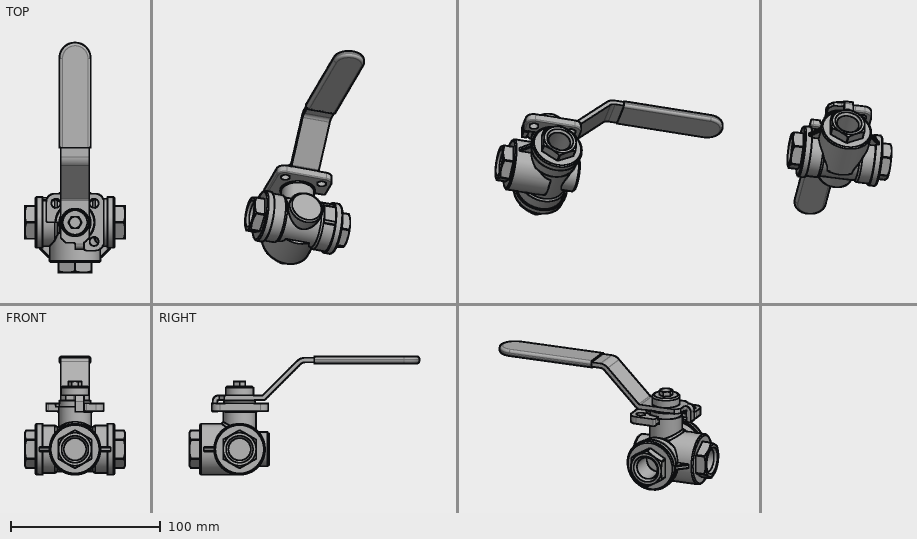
import cadquery as cq
import math

overall_length = 153.5
port_reach = 33.5
collar_face = 26.5
port_radius = 17.0
collar_back = 21.5
side_radius = 16.0
barrel_back = 13.5
core_radius = 14.9
core_half_length = 12.0
edge_chamfer = 0.9
collar_back_chamfer = 0.3

nut_flats = 22.1
nut_corner_diameter = 25.2
nut_tip_diameter = 22.0
nut_chamfer_length = 0.9

bore_diameter = 14.9
bore_mouth_diameter = 18.0
bore_mouth_depth = 1.8
bore_depth = 18.4

rear_boss_radius = 11.5
rear_boss_reach = 19.6
rear_boss_chamfer = 1.2

pad_reach = 16.6
pad_half_height = 7.0
pad_chamfer = 1.4

rib_thickness = 3.0
rib_chamfer = 0.6
rib_wide = 24.0
rib_narrow = 17.0

stem_radius = 22.0 / 2
neck_radius = 21.0 / 2
neck_bottom = 28.2
neck_top = 32.2
spindle_radius = 10.0
saddle_chamfer = 1.2

plate_half_width = 19.2
plate_front = 18.7
plate_bottom = 25.3
plate_top = 30.5
plate_corner_radius = 5.4
plate_small_radius = 1.2
plate_edge_radius = 0.8
plate_notch_x = 6.1
plate_hole_offset = 12.7
plate_hole_diameter = 6.0
plate_recess_top_radius = 13.2
plate_recess_floor_radius = 12.7
plate_root_bevel = 0.8

lever_bottom = 32.7
lever_thickness = 3.2
lever_width = 19.0
lever_front = 13.5
lever_corner = 3.2
lever_bend_y = 15.4
lever_flat_top = 61.1
lever_bend_radius = 7.7
lever_low_bend_radius = 1.5
lever_slope = math.radians(45)

grip_start = 49.9
grip_end = overall_length - port_reach
grip_bottom = 57.1
grip_top = 62.0
grip_width = 21.0
grip_edge = 2.0

stop_tab_left = 0.2
stop_tab_right = 6.0
stop_tab_reach = 18.0
stop_tab_bottom = 24.9
stop_tab_bend = 3.8
stop_tab_root_radius = 1.4

washer_diameter = 18.5
washer_top = 42.0
washer_chamfer = 1.15
bolt_flats = 7.8
bolt_tip_diameter = 7.7
bolt_chamfer_length = 0.3
bolt_top = 45.3


def cylinder_z(radius, bottom, top):
    return cq.Workplane("XY").workplane(offset=bottom).circle(radius).extrude(top - bottom)


def revolve_profile(points):
    """Turn (radius, height) points about the Z axis."""
    return cq.Workplane("XZ").polyline(points).close().revolve(360, (0, 0, 0), (0, 1, 0))


def hexagon_head(flats, corner_diameter, tip_diameter, chamfer_length, bottom, top):
    """Hexagonal head along Z with corners on the X axis and a conical outer end."""
    prism = (
        cq.Workplane("XY").workplane(offset=bottom)
        .polygon(6, flats / math.cos(math.pi / 6)).extrude(top - bottom)
    )
    envelope = revolve_profile([
        (0, bottom),
        (corner_diameter / 2, bottom),
        (corner_diameter / 2, top - chamfer_length),
        (tip_diameter / 2, top),
        (0, top),
    ])
    return prism.intersect(envelope)


def port_nut():
    return hexagon_head(
        nut_flats, nut_corner_diameter, nut_tip_diameter, nut_chamfer_length, collar_face, port_reach
    )


def port_bore():
    bore_radius = bore_diameter / 2
    return revolve_profile([
        (0, port_reach),
        (bore_mouth_diameter / 2, port_reach),
        (bore_radius, port_reach - bore_mouth_depth),
        (bore_radius, port_reach - bore_depth),
        (0, port_reach - bore_depth),
    ])


def side_barrel():
    return revolve_profile([
        (0, 0),
        (core_radius, 0),
        (core_radius, core_half_length),
        (side_radius, barrel_back),
        (side_radius, collar_back),
        (port_radius - collar_back_chamfer, collar_back),
        (port_radius, collar_back + collar_back_chamfer),
        (port_radius, collar_face - edge_chamfer),
        (port_radius - edge_chamfer, collar_face),
        (0, collar_face),
    ])


def aim_right(body):
    """Turn a port from +Z to +X, its local X axis ending vertical."""
    return body.rotate((0, 0, 0), (0, 1, 0), 90)


def aim_left(body):
    return body.rotate((0, 0, 0), (0, 1, 0), -90)


def aim_front(body):
    """Turn a port from +Z to -Y, its local X axis ending vertical."""
    return aim_right(body).rotate((0, 0, 0), (0, 0, 1), -90)


def front_barrel():
    return aim_front(cylinder_z(port_radius, 0, collar_face).faces(">Z").chamfer(edge_chamfer))


def stem():
    post = cylinder_z(stem_radius, 0, neck_bottom)
    neck = cylinder_z(neck_radius, neck_bottom, neck_top)
    spindle = cylinder_z(spindle_radius, neck_top, lever_bottom)
    return post.union(neck).union(spindle)


def saddle_bevel():
    """Front half of the bevel around the stem where it enters the front barrel."""
    reach = 2 * stem_radius
    saddle = cq.Workplane("XZ").circle(port_radius).extrude(reach, both=True)
    post = cylinder_z(stem_radius, 0, neck_bottom)
    seam_height = math.sqrt(port_radius ** 2 - stem_radius ** 2)
    seam = cq.selectors.BoxSelector(
        (-reach, -reach, seam_height / 2), (reach, reach, (port_radius + neck_bottom) / 2),
    )
    bevelled = saddle.union(post).edges(seam).chamfer(saddle_chamfer)
    front_half = cq.Workplane("XY").box(2 * reach, reach, 2 * neck_bottom).translate((0, -reach / 2, 0))
    return bevelled.intersect(front_half)


def rear_boss():
    return (
        cq.Workplane("XZ").circle(rear_boss_radius).extrude(-rear_boss_reach)
        .faces(">Y").chamfer(rear_boss_chamfer)
    )


def rear_pad():
    length = collar_back - barrel_back
    return (
        cq.Workplane("XY").box(length, pad_reach, 2 * pad_half_height, centered=(True, False, True))
        .edges(">Y and |X").chamfer(pad_chamfer)
        .translate((-(collar_back + barrel_back) / 2, 0, 0))
    )


def corner_rib():
    """Triangular web between the right and front barrels."""
    outline = [
        (0, 0),
        (rib_wide, 0),
        (rib_wide, -rib_narrow),
        (rib_narrow, -rib_wide),
        (0, -rib_wide),
    ]
    middle = (rib_wide + rib_narrow) / 2
    web = (
        cq.Workplane("XY").workplane(offset=-rib_thickness / 2)
        .polyline(outline).close().extrude(rib_thickness)
    )
    for z in (-rib_thickness / 2, rib_thickness / 2):
        edge = cq.selectors.NearestToPointSelector((middle, -middle, z))
        web = web.edges(edge).chamfer(rib_chamfer)
    return web


def mounting_plate():
    half = plate_half_width
    outline = [
        (-half, 0),
        (plate_notch_x, 0),
        (plate_notch_x, -plate_front),
        (half, -plate_front),
        (half, half),
        (-half, half),
    ]
    blank = (
        cq.Workplane("XY").workplane(offset=plate_bottom)
        .polyline(outline).close().extrude(plate_top - plate_bottom)
    )
    large_corners = [(half, -plate_front), (half, half), (-half, half)]
    small_corners = [(-half, 0), (plate_notch_x, -plate_front)]
    for corners, radius in ((large_corners, plate_corner_radius), (small_corners, plate_small_radius)):
        for x, y in corners:
            middle = (x, y, (plate_bottom + plate_top) / 2)
            blank = blank.edges(cq.selectors.NearestToPointSelector(middle)).fillet(radius)
    root = revolve_profile([
        (0, plate_bottom - plate_root_bevel),
        (stem_radius, plate_bottom - plate_root_bevel),
        (stem_radius + plate_root_bevel, plate_bottom),
        (0, plate_bottom),
    ])
    root_area = blank.translate((0, 0, -plate_root_bevel))
    plate = blank.faces("<Z").edges().fillet(plate_edge_radius).union(root.intersect(root_area))

    offset = plate_hole_offset
    holes = (
        cq.Workplane("XY").workplane(offset=plate_bottom)
        .pushPoints([(-offset, offset), (offset, offset), (offset, -offset)])
        .circle(plate_hole_diameter / 2).extrude(plate_top - plate_bottom)
    )
    recess = revolve_profile([
        (0, neck_bottom),
        (plate_recess_floor_radius, neck_bottom),
        (plate_recess_top_radius, plate_top),
        (0, plate_top),
    ])
    return plate.cut(holes).cut(recess)


def lever():
    """Bent strip drawn in the YZ plane and extruded across its width."""
    top = lever_bottom + lever_thickness
    lower_bend_y = lever_bend_y + lever_thickness * math.tan(lever_slope / 2)
    outer = lever_bend_radius
    inner = outer - lever_thickness
    bend_drop = outer * (1 - math.cos(lever_slope))
    slope_end_y = lever_bend_y + (lever_flat_top - bend_drop - top) / math.tan(lever_slope)
    bend_y = slope_end_y + outer * math.sin(lever_slope)
    bend_z = lever_flat_top - outer

    def bend_point(radius, angle):
        return (bend_y - radius * math.sin(angle), bend_z + radius * math.cos(angle))

    strip = (
        cq.Workplane("YZ").workplane(offset=-lever_width / 2)
        .moveTo(-lever_front, top)
        .lineTo(lever_bend_y, top)
        .lineTo(*bend_point(outer, lever_slope))
        .threePointArc(bend_point(outer, lever_slope / 2), bend_point(outer, 0))
        .lineTo(grip_start + grip_width / 2, lever_flat_top)
        .lineTo(grip_start + grip_width / 2, lever_flat_top - lever_thickness)
        .lineTo(*bend_point(inner, 0))
        .threePointArc(bend_point(inner, lever_slope / 2), bend_point(inner, lever_slope))
        .lineTo(lower_bend_y, lever_bottom)
        .lineTo(-lever_front, lever_bottom)
        .close().extrude(lever_width)
    )
    strip = strip.edges("<Y and |Z").chamfer(lever_corner)
    for y, z in ((lever_bend_y, top), (lower_bend_y, lever_bottom)):
        strip = strip.edges(cq.selectors.NearestToPointSelector((0, y, z))).fillet(lever_low_bend_radius)
    return strip


def grip():
    round_centre = grip_end - grip_width / 2
    half = grip_width / 2
    return (
        cq.Workplane("XY").workplane(offset=grip_bottom)
        .moveTo(-half, grip_start)
        .lineTo(half, grip_start)
        .lineTo(half, round_centre)
        .threePointArc((0, grip_end), (-half, round_centre))
        .close().extrude(grip_top - grip_bottom)
        .faces(">Z or <Z").edges("not <Y").fillet(grip_edge)
    )


def stop_tab():
    """Tongue bent down from the lever's front edge, which stops against the plate."""
    top = lever_bottom + lever_thickness
    inner_bend = stop_tab_bend - lever_thickness
    bend_y = stop_tab_bend - stop_tab_reach
    bend_z = top - stop_tab_bend
    diagonal = math.sqrt(0.5)
    return (
        cq.Workplane("YZ").workplane(offset=stop_tab_left)
        .moveTo(-lever_front + lever_thickness, top)
        .lineTo(bend_y, top)
        .threePointArc(
            (bend_y - stop_tab_bend * diagonal, bend_z + stop_tab_bend * diagonal),
            (-stop_tab_reach, bend_z),
        )
        .lineTo(-stop_tab_reach, stop_tab_bottom)
        .lineTo(-stop_tab_reach + lever_thickness, stop_tab_bottom)
        .lineTo(-stop_tab_reach + lever_thickness, bend_z)
        .threePointArc(
            (bend_y - inner_bend * diagonal, bend_z + inner_bend * diagonal),
            (bend_y, lever_bottom),
        )
        .lineTo(-lever_front + lever_thickness, lever_bottom)
        .close().extrude(stop_tab_right - stop_tab_left)
    )


def stop_tab_root():
    """Concave corner joining the tab's left side to the lever's front edge."""
    radius = stop_tab_root_radius
    return (
        cq.Workplane("XY").workplane(offset=lever_bottom)
        .moveTo(stop_tab_left - radius, -lever_front)
        .lineTo(stop_tab_left, -lever_front)
        .lineTo(stop_tab_left, -lever_front - radius)
        .radiusArc((stop_tab_left - radius, -lever_front), -radius)
        .close().extrude(lever_thickness)
    )


def washer_and_bolt():
    washer = cylinder_z(washer_diameter / 2, lever_bottom + lever_thickness, washer_top)
    washer = washer.faces(">Z").chamfer(washer_chamfer)
    corner_diameter = bolt_flats / math.cos(math.pi / 6)
    bolt = hexagon_head(
        bolt_flats, corner_diameter, bolt_tip_diameter, bolt_chamfer_length, washer_top, bolt_top
    )
    return washer.union(bolt)


body = front_barrel().union(stem()).union(saddle_bevel())
for aim in (aim_left, aim_right):
    body = body.union(aim(side_barrel()))
body = body.union(rear_boss()).union(rear_pad())
body = body.union(corner_rib()).union(corner_rib().mirror("YZ"))
for aim in (aim_left, aim_right, aim_front):
    body = body.union(aim(port_nut())).cut(aim(port_bore()))

result = body
for part in (mounting_plate(), lever(), grip(), stop_tab(), stop_tab_root(), washer_and_bolt()):
    result = result.union(part)